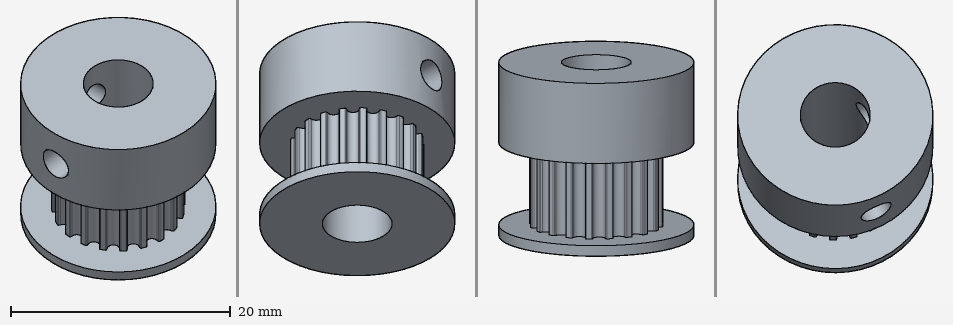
import cadquery as cq
import math


outer_diameter = 17.78
overall_height = 16.13
flange_thickness = 1.0
hub_height = 7.47
hub_bottom = overall_height - hub_height
bore_diameter = 6.35

tooth_count = 20
tooth_tip_radius = 6.08
groove_depth = 0.82
groove_radius = 0.57
groove_mouth_width = 1.32
tooth_tip_fillet = 0.09

screw_hole_diameter = 3.0
screw_hole_height = hub_bottom + hub_height / 2


def disc(diameter, bottom, height):
    """Solid cylinder on the Z axis."""
    return cq.Workplane("XY").workplane(offset=bottom).circle(diameter / 2).extrude(height)


def toothed_section():
    """Cylinder with flared, round-bottomed belt grooves and rounded tooth tips."""
    height = hub_bottom - flange_thickness
    body = disc(2 * tooth_tip_radius, flange_thickness, height)

    root_radius = tooth_tip_radius - groove_depth
    arc_center = root_radius + groove_radius
    groove_end = tooth_tip_radius + groove_depth
    half_mouth = groove_mouth_width / 2
    groove = (
        cq.Workplane("XY")
        .workplane(offset=flange_thickness)
        .moveTo(groove_end, -half_mouth)
        .lineTo(tooth_tip_radius, -half_mouth)
        .lineTo(arc_center, -groove_radius)
        .threePointArc((root_radius, 0), (arc_center, groove_radius))
        .lineTo(tooth_tip_radius, half_mouth)
        .lineTo(groove_end, half_mouth)
        .close()
        .extrude(height)
    )
    for index in range(tooth_count):
        angle = index * 360 / tooth_count
        body = body.cut(groove.rotate((0, 0, 0), (0, 0, 1), angle))

    def on_tip_circle(edge):
        center = edge.Center()
        return math.isclose(math.hypot(center.x, center.y), tooth_tip_radius, abs_tol=0.002)

    return body.edges("|Z").filter(on_tip_circle).fillet(tooth_tip_fillet)


def screw_hole(direction):
    """Radial drill running from the bore axis out through the hub wall."""
    start = cq.Vector(0, 0, screw_hole_height)
    drill = cq.Solid.makeCylinder(
        screw_hole_diameter / 2, outer_diameter, start, cq.Vector(*direction)
    )
    return cq.Workplane(obj=drill)


flange = disc(outer_diameter, 0, flange_thickness)
hub = disc(outer_diameter, hub_bottom, hub_height)
result = flange.union(toothed_section()).union(hub)
result = result.cut(disc(bore_diameter, 0, overall_height))

for screw_direction in [(-1, 0, 0), (0, -1, 0)]:
    result = result.cut(screw_hole(screw_direction))